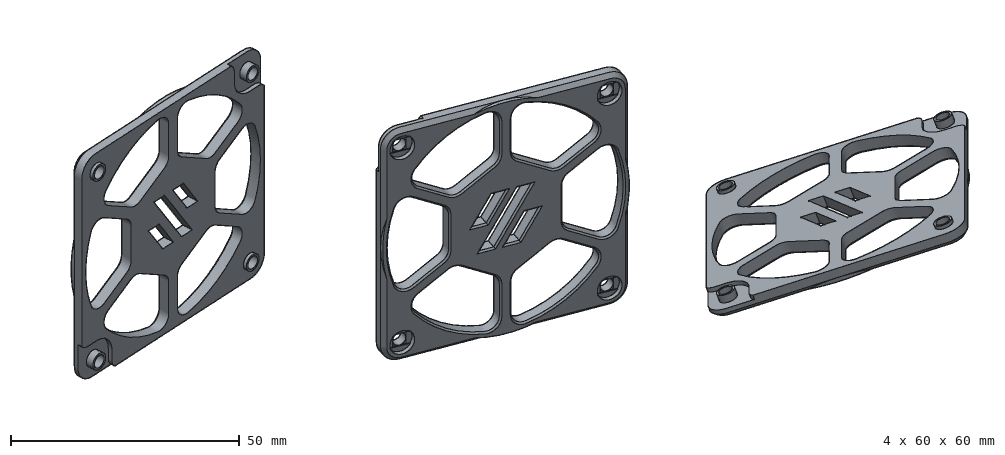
import cadquery as cq
import math

side = 60.0
plate_thickness = 3.2
corner_radius = 4.5
outer_chamfer = 1.0
opening_chamfer = 0.4

opening_count = 6
hub_apothem = 13.8
spoke_width = 2.9
rim_radius = 28.7
opening_fillet = 3.0

slot_half_height = 6.95
slot_width = 3.5
slot_pitch = 6.2
slot_slope = 0.65
short_slot_end = -0.25

hole_offset = 25.2
hole_diameter = 3.2
head_diameter = 6.0
head_depth = 1.2
layer_step = 0.2
pin_diameter = 4.2
pin_end = 4.0

recess_floor = 2.1
recess_radius = 5.1
recess_mouth_radius = 2.5
recess_mouth_start = 28.0

half_side = side / 2
overcut = 0.6


def block(y_size, z_size, x_start, x_end):
    """Box centred on the X axis between two X positions."""
    return cq.Workplane("YZ", origin=(x_start, 0, 0)).rect(y_size, z_size).extrude(x_end - x_start)


def cylinder(diameter, x_start, x_end):
    """Cylinder on the X axis between two X positions."""
    return cq.Workplane("YZ", origin=(x_start, 0, 0)).circle(diameter / 2).extrude(x_end - x_start)


def make_plate():
    """Rounded, front-chamfered square; a full-width disc fills the chamfer at mid-side."""
    plate = block(side, side, 0, plate_thickness).edges("|X").fillet(corner_radius)
    plate = plate.faces("<X").edges().chamfer(outer_chamfer)
    return plate.union(cylinder(side, 0, plate_thickness))


def make_opening():
    """Fan opening centred on +Y, bounded by the hub, two spokes and the rim."""
    half_angle = math.pi / opening_count
    half_spoke = spoke_width / 2

    def spoke_edge_point(along):
        y = along * math.cos(half_angle) + half_spoke * math.sin(half_angle)
        z = along * math.sin(half_angle) - half_spoke * math.cos(half_angle)
        return y, z

    hub_y, hub_z = spoke_edge_point((hub_apothem - half_spoke * math.sin(half_angle)) / math.cos(half_angle))
    rim_y, rim_z = spoke_edge_point(math.sqrt(rim_radius**2 - half_spoke**2))
    return (
        cq.Workplane("YZ")
        .moveTo(hub_y, -hub_z)
        .lineTo(rim_y, -rim_z)
        .threePointArc((rim_radius, 0), (rim_y, rim_z))
        .lineTo(hub_y, hub_z)
        .close()
        .extrude(plate_thickness)
        .edges("|X")
        .fillet(opening_fillet)
    )


def make_slot(y_shift, z_bottom, z_top):
    """Slanted slot with level ends; y_shift is where its centre line crosses Z = 0."""
    half_width = slot_width / 2
    y_bottom = y_shift - slot_slope * z_bottom
    y_top = y_shift - slot_slope * z_top
    corners = [
        (y_bottom - half_width, z_bottom),
        (y_bottom + half_width, z_bottom),
        (y_top + half_width, z_top),
        (y_top - half_width, z_top),
    ]
    return cq.Workplane("YZ").polyline(corners).close().extrude(plate_thickness)


def make_recess():
    """Corner recess at +Y +Z, round about the pin and flared where it leaves the plate."""
    outside = half_side + overcut
    wall = hole_offset - recess_radius
    flare_length = half_side - recess_mouth_start
    flare_depth = recess_mouth_radius - math.sqrt(recess_mouth_radius**2 - flare_length**2)
    mouth = wall - flare_depth
    half_flare = math.asin(flare_length / recess_mouth_radius) / 2
    flare_mid_along = recess_mouth_start + recess_mouth_radius * math.sin(half_flare)
    flare_mid_across = wall - recess_mouth_radius * (1 - math.cos(half_flare))
    arc_mid = hole_offset - recess_radius * math.sqrt(0.5)
    return (
        cq.Workplane("YZ", origin=(recess_floor, 0, 0))
        .moveTo(outside, mouth)
        .lineTo(half_side, mouth)
        .threePointArc((flare_mid_along, flare_mid_across), (recess_mouth_start, wall))
        .lineTo(hole_offset, wall)
        .threePointArc((arc_mid, arc_mid), (wall, hole_offset))
        .lineTo(wall, recess_mouth_start)
        .threePointArc((flare_mid_across, flare_mid_along), (mouth, half_side))
        .lineTo(mouth, outside)
        .lineTo(outside, outside)
        .close()
        .extrude(plate_thickness - recess_floor)
    )


def make_screw_cut():
    """Head counterbore stepping down through a slot and a square to the round hole."""
    slot_end = head_depth + layer_step
    square_end = slot_end + layer_step
    slot = block(head_diameter, hole_diameter, 0, slot_end).intersect(cylinder(head_diameter, 0, slot_end))
    return (
        cylinder(hole_diameter, 0, pin_end)
        .union(cylinder(head_diameter, 0, head_depth))
        .union(slot)
        .union(block(hole_diameter, hole_diameter, 0, square_end))
    )


grille = make_plate()

opening = make_opening()
for index in range(opening_count):
    grille = grille.cut(opening.rotate((0, 0, 0), (1, 0, 0), index * 360 / opening_count))

grille = grille.cut(make_slot(0, -slot_half_height, slot_half_height))
grille = grille.cut(make_slot(slot_pitch, short_slot_end, slot_half_height))
grille = grille.cut(make_slot(-slot_pitch, -slot_half_height, -short_slot_end))

front_face = grille.faces("<X").val()
front_rims = [edge for wire in front_face.innerWires() for edge in wire.Edges()]
grille = grille.newObject(front_rims).chamfer(opening_chamfer)

recess = make_recess()
for angle in (0, 180):
    grille = grille.cut(recess.rotate((0, 0, 0), (1, 0, 0), angle))

pin = cylinder(pin_diameter, recess_floor, pin_end)
screw_cut = make_screw_cut()
for y in (-hole_offset, hole_offset):
    for z in (-hole_offset, hole_offset):
        grille = grille.union(pin.translate((0, y, z)))
        grille = grille.cut(screw_cut.translate((0, y, z)))

result = grille.translate((-pin_end / 2, 0, 0))